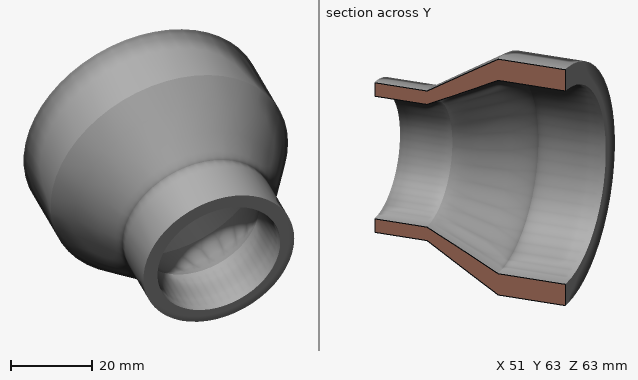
import cadquery as cq

large_outer_diameter = 63.0
large_bore_diameter = 51.4
small_outer_diameter = 40.0
small_bore_diameter = 32.6

large_end_length = 18.0
cone_length = 19.0
small_end_length = 14.0

cone_start = large_end_length
cone_end = cone_start + cone_length
total_length = cone_end + small_end_length


def reducer_body(large_diameter, small_diameter):
    """Solid of two coaxial cylinders joined by a cone."""
    large_radius = large_diameter / 2
    small_radius = small_diameter / 2
    return (
        cq.Workplane("XY")
        .moveTo(0, 0)
        .lineTo(0, large_radius)
        .lineTo(cone_start, large_radius)
        .lineTo(cone_end, small_radius)
        .lineTo(total_length, small_radius)
        .lineTo(total_length, 0)
        .close()
        .revolve(360, (0, 0, 0), (1, 0, 0))
    )


outside = reducer_body(large_outer_diameter, small_outer_diameter)
bore = reducer_body(large_bore_diameter, small_bore_diameter)

result = outside.cut(bore)